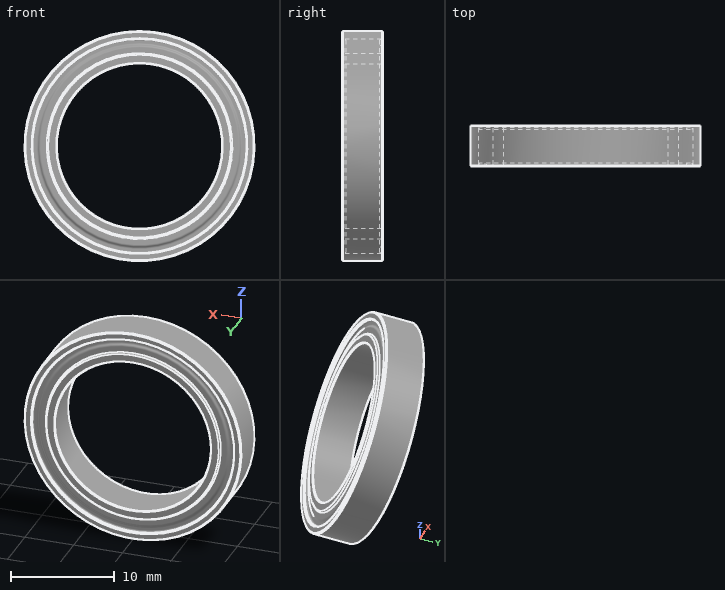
import cadquery as cq

outer_radius = 11.12
bore_radius = 7.95
width = 3.98
half_width = width / 2

outer_edge_chamfer = 0.11
seal_seat_radius = 10.34
seat_edge_chamfer = 0.1

seal_rim_depth = 0.15
seal_rim_inner_radius = 10.31
seal_groove_depth = 0.38
rim_fillet = 0.13
slope_outer_radius = 9.83
slope_inner_radius = 9.65
slope_fillet = 0.27
seal_face_depth = 0.2

bore_chamfer = 0.1
inner_ring_radius = 8.95
inner_edge_chamfer = 0.15
inner_edge_round = 0.13


def ring_from_front_profile(front_profile):
    """Revolve a ring about Y, with the same profile at both ends.

    The profile holds (radius, depth below the end face) points, ordered from the
    ring's outside wall over its front to its inside wall.
    """
    front = [(depth - half_width, radius) for radius, depth in front_profile]
    back = [(-y, radius) for y, radius in reversed(front)]
    return cq.Workplane("YZ").polyline(front + back).close().revolve(360, (0, 0), (1, 0))


def fillet_circles(ring, radius, depth, fillet):
    """Fillet the circular edges of the given radius and depth at both ends."""
    tolerance = 0.0002
    edge_y = half_width - depth

    def is_wanted(edge):
        on_depth = abs(abs(edge.Center().y) - edge_y) < tolerance
        return edge.geomType() == "CIRCLE" and on_depth and abs(edge.radius() - radius) < tolerance

    edges = [edge for edge in ring.edges().vals() if is_wanted(edge)]
    return ring.newObject([ring.val().fillet(fillet, edges)])


def make_outer_ring():
    return ring_from_front_profile([
        (outer_radius, outer_edge_chamfer),
        (outer_radius - outer_edge_chamfer, 0),
        (seal_seat_radius + seat_edge_chamfer, 0),
        (seal_seat_radius, seat_edge_chamfer),
    ])


def make_seal():
    seal = ring_from_front_profile([
        (seal_seat_radius, seal_rim_depth),
        (seal_rim_inner_radius, seal_rim_depth),
        (seal_rim_inner_radius, seal_groove_depth),
        (slope_outer_radius, seal_groove_depth),
        (slope_inner_radius, seal_face_depth),
        (inner_ring_radius, seal_face_depth),
    ])
    seal = fillet_circles(seal, seal_rim_inner_radius, seal_groove_depth, rim_fillet)
    seal = fillet_circles(seal, slope_outer_radius, seal_groove_depth, slope_fillet)
    return fillet_circles(seal, slope_inner_radius, seal_face_depth, slope_fillet)


def make_inner_ring():
    ring = ring_from_front_profile([
        (inner_ring_radius, inner_edge_chamfer),
        (inner_ring_radius - inner_edge_chamfer, 0),
        (bore_radius + bore_chamfer, 0),
        (bore_radius, bore_chamfer),
    ])
    return fillet_circles(ring, inner_ring_radius, inner_edge_chamfer, inner_edge_round)


outer_ring = make_outer_ring()
seal = make_seal()
inner_ring = make_inner_ring()

result = cq.Compound.makeCompound([outer_ring.val(), seal.val(), inner_ring.val()])